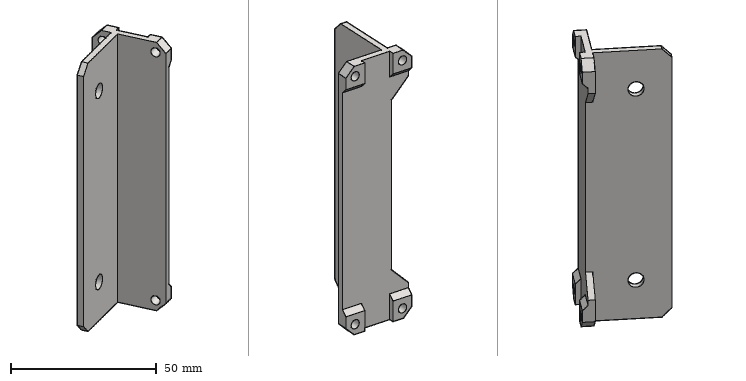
import cadquery as cq

length = 104.0
width = 28.0
depth = 31.9

plate_thickness = 2.5
web_thickness = 2.5
web_left = 7.2
corner_chamfer = 3.5

ear_straight_end = 12.0

pad_width = 8.0
pad_flat_length = 8.0
pad_height = 2.0

corner_hole_diameter = 3.4
corner_hole_inset = 4.0
web_hole_diameter = 5.5
web_hole_end_distance = 15.0
web_hole_front_distance = 12.5

half_length = length / 2
plate_back = -pad_height
plate_front = plate_back - plate_thickness
ear_taper_end = ear_straight_end + web_left


def make_outline_prism():
    """Front outline of plate and ears, extruded through plate and pads."""
    upper_half = [
        (web_left, half_length - ear_taper_end),
        (0, half_length - ear_straight_end),
        (0, half_length - corner_chamfer),
        (corner_chamfer, half_length),
        (width - corner_chamfer, half_length),
        (width, half_length - corner_chamfer),
    ]
    lower_half = [(x, -z) for x, z in reversed(upper_half)]
    return (
        cq.Workplane("XZ")
        .polyline(upper_half + lower_half)
        .close()
        .extrude(-plate_front)
    )


def make_plate_slab():
    """Block bounding the plate thickness."""
    return cq.Workplane("XY").box(
        width, plate_thickness, length, centered=(False, False, True)
    ).translate((0, plate_front, 0))


def make_pad(left, end):
    """Corner pad at the upper (end = 1) or lower (end = -1) end, with a sloped inner end."""
    flat_end = half_length - pad_flat_length
    profile = [
        (plate_front, end * half_length),
        (0, end * half_length),
        (0, end * flat_end),
        (plate_back, end * (flat_end - pad_height)),
        (plate_front, end * (flat_end - pad_height)),
    ]
    return (
        cq.Workplane("YZ", origin=(left, 0, 0))
        .polyline(profile)
        .close()
        .extrude(pad_width)
    )


def make_web():
    """Upright web with chamfered front corners."""
    return (
        cq.Workplane("XY")
        .box(web_thickness, depth + plate_back, length, centered=(False, False, True))
        .translate((web_left, -depth, 0))
        .faces("<Y")
        .edges("|X")
        .chamfer(corner_chamfer)
    )


def make_corner_holes():
    """Cutters through the plate and pads at the four corners."""
    hole_height = half_length - corner_hole_inset
    centres = [
        (x, z)
        for x in (corner_hole_inset, width - corner_hole_inset)
        for z in (-hole_height, hole_height)
    ]
    return (
        cq.Workplane("XZ")
        .pushPoints(centres)
        .circle(corner_hole_diameter / 2)
        .extrude(-plate_front)
    )


def make_web_holes():
    """Cutters through the web near its two ends."""
    hole_height = half_length - web_hole_end_distance
    hole_y = web_hole_front_distance - depth
    return (
        cq.Workplane("YZ", origin=(web_left, 0, 0))
        .pushPoints([(hole_y, -hole_height), (hole_y, hole_height)])
        .circle(web_hole_diameter / 2)
        .extrude(web_thickness)
    )


plate = make_plate_slab()
for pad_left in (0, width - pad_width):
    for pad_end in (-1, 1):
        plate = plate.union(make_pad(pad_left, pad_end))
plate = plate.intersect(make_outline_prism())

result = plate.union(make_web()).cut(make_corner_holes()).cut(make_web_holes())